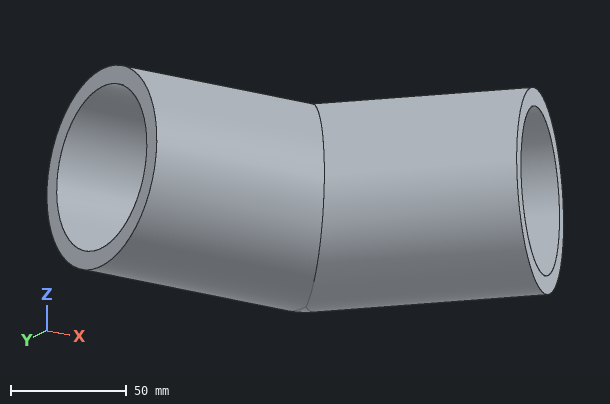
import cadquery as cq
import math

overall_length = 209.4
outer_diameter = 90.0
bore_diameter = 73.7
bend_angle = 45.0

bend = math.radians(bend_angle)
leg_length = (overall_length - outer_diameter / 2 * math.sin(bend)) / (1 + math.cos(bend))


def straight_leg(diameter, direction):
    """Cylinder running from the corner along the given direction."""
    plane = cq.Plane(origin=(0, 0, 0), xDir=(0, 0, 1), normal=direction)
    return cq.Workplane(plane).circle(diameter / 2).extrude(leg_length)


def corner_wedge(diameter):
    """Slice of a ball filling the gap between the leg ends outside the bend."""
    radius = diameter / 2
    half_disc = (
        cq.Workplane("YZ")
        .moveTo(0, -radius)
        .threePointArc((radius, 0), (0, radius))
        .close()
    )
    return half_disc.revolve(bend_angle, (0, radius), (0, -radius))


def bent_rod(diameter):
    """Both legs and the corner as one solid rod."""
    first_leg = straight_leg(diameter, (-1, 0, 0))
    second_leg = straight_leg(diameter, (math.cos(bend), -math.sin(bend), 0))
    return first_leg.union(second_leg).union(corner_wedge(diameter))


result = bent_rod(outer_diameter).cut(bent_rod(bore_diameter))